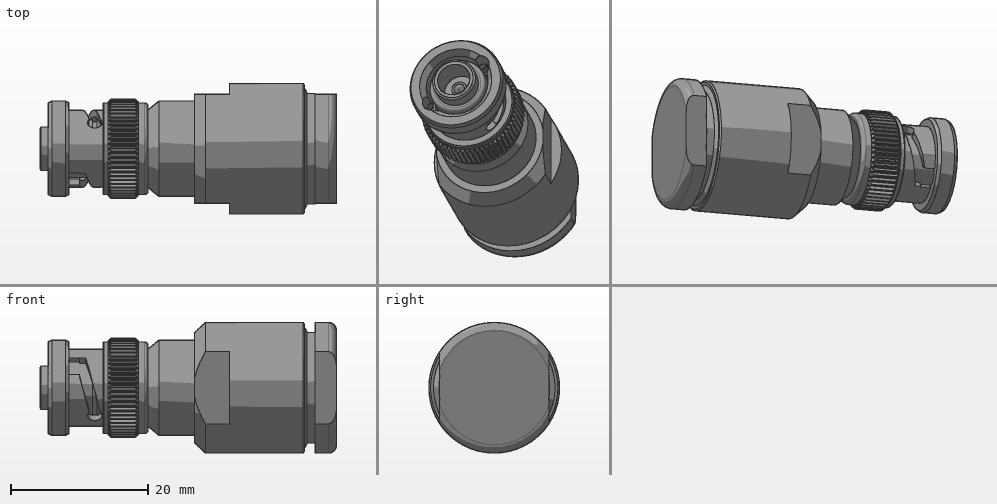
import cadquery as cq
import math

length = 43.2
body_diameter = 19.05
body_radius = body_diameter / 2

flange_front = 1.2
flange_back = 4.25
flange_radius = 6.95
flange_edge_length = 0.5
flange_edge_drop = 0.25
sleeve_radius = 5.6
bore_radius = 4.62
bore_depth = 9.15
entry_radius = 5.4
entry_depth = 0.85

collar_front = bore_depth
collar_radius = 6.7
collar_edge = 0.17
knurl_front = 9.9
knurl_back = 14.35
knurl_radius = 7.25
knurl_root_radius = 6.85
knurl_chamfer = 0.48
knurl_teeth = 60
crest_share = 0.2
valley_share = 0.2
collar_back = 15.75
collar_rounding = 0.55

neck_front_radius = 5.7
neck_radius = 6.95
neck_cone_end = 17.32
body_front = 22.5
body_front_radius = 8.05
body_cone_end = 24.1
body_edge_start = 38.3
body_edge_end = 38.55
body_edge_drop = 0.25
thread_relief_radius = 8.85
thread_relief_end = 38.92
thread_radius = 8.1

nut_front = 40.1
nut_rounding = 1.2
flat_distance = 7.95
body_flat_end = 27.6
flat_cut_margin = 0.45

tip_radius = 3.2
tip_face_radius = 2.9
tip_chamfer_length = 0.17
tip_bore_radius = 2.4
tip_bore_depth = 4.3
shoulder_position = 2.1
contact_radius = 4.2
contact_rounding = 0.65
groove_start = 7.7
groove_end = 8.3
groove_radius = 3.9
pin_shoulder_radius = 1.12
pin_shoulder_front = 3.45
pin_radius = 0.78
pin_tip = 2.6

slot_count = 2
slot_width = 2.95
slot_straight_end = 5.75
slot_angle = 35.5
channel_radius = 1.45
channel_offset = 4.3
ramp_width = 1.65
ramp_start = 5.85
ramp_end = 8.15
ramp_start_angle = 50.0
ramp_end_angle = -47.0
seat_position = 8.0
seat_radius = 1.05
slot_floor_radius = 4.28
slot_reach = 6.25


def turned(outline):
    """Revolve a closed (axial, radial) outline about the X axis."""
    return outline.close().revolve(360, (0, 0, 0), (1, 0, 0))


def cylinder(start, end, radius):
    """Cylinder along X."""
    return cq.Workplane("YZ").workplane(offset=start).circle(radius).extrude(end - start)


def at_angle(shape, angle):
    """Turn a shape built toward -Y so that it sits at the given angle."""
    return shape.rotate((0, 0, 0), (1, 0, 0), -angle)


def make_sleeve():
    edge_radius = flange_radius - flange_edge_drop
    return turned(
        cq.Workplane("XY")
        .moveTo(flange_front, entry_radius)
        .lineTo(flange_front, edge_radius)
        .lineTo(flange_front + flange_edge_length, flange_radius)
        .lineTo(flange_back - flange_edge_length, flange_radius)
        .lineTo(flange_back, edge_radius)
        .lineTo(flange_back, sleeve_radius)
        .lineTo(bore_depth, sleeve_radius)
        .lineTo(bore_depth, bore_radius)
        .lineTo(flange_front + entry_depth, bore_radius)
    )


def make_slot():
    """One bayonet slot: entry channel, straight run, helical ramp and round seat."""
    channel = (
        cylinder(flange_front, flange_back, channel_radius)
        .translate((0, -channel_offset, 0))
    )
    run_length = slot_straight_end - flange_back
    radial_depth = slot_reach - slot_floor_radius
    straight = (
        cq.Workplane("XY")
        .box(run_length, radial_depth, slot_width, centered=(False, False, True))
        .translate((flange_back, -slot_reach, 0))
    )
    entry = at_angle(channel.union(straight), slot_angle)

    ramp_turn = ramp_start_angle - ramp_end_angle
    ramp_length = ramp_end - ramp_start
    path = cq.Wire.makeHelix(ramp_length * 360 / ramp_turn, ramp_length, sleeve_radius)
    ramp = (
        cq.Workplane("XZ")
        .moveTo((slot_floor_radius + slot_reach) / 2, 0)
        .rect(radial_depth, ramp_width)
        .sweep(cq.Workplane(obj=path), isFrenet=True)
        .rotate((0, 0, 0), (0, 1, 0), 90)
        .translate((ramp_start, 0, 0))
    )
    ramp = at_angle(ramp, ramp_start_angle + 90)

    seat = (
        cq.Workplane("XZ")
        .workplane(offset=slot_floor_radius)
        .center(seat_position, 0)
        .circle(seat_radius)
        .extrude(radial_depth)
    )
    return entry.union(ramp).union(at_angle(seat, ramp_end_angle))


def make_collar():
    return turned(
        cq.Workplane("XY")
        .moveTo(collar_front, 0)
        .lineTo(collar_front, collar_radius - collar_edge)
        .lineTo(collar_front + collar_edge, collar_radius)
        .lineTo(collar_back - collar_rounding, collar_radius)
        .radiusArc((collar_back, collar_radius - collar_rounding), collar_rounding)
        .lineTo(collar_back, 0)
    )


def make_knurl():
    """Straight knurl with trapezoidal teeth and chamfered ends."""
    pitch = 2 * math.pi / knurl_teeth
    half_valley = valley_share * pitch / 2
    half_crest = crest_share * pitch / 2
    corners = (
        (knurl_root_radius, -half_valley),
        (knurl_root_radius, half_valley),
        (knurl_radius, pitch / 2 - half_crest),
        (knurl_radius, pitch / 2 + half_crest),
    )
    points = []
    for tooth in range(knurl_teeth):
        for radius, offset in corners:
            angle = tooth * pitch + offset
            points.append((radius * math.cos(angle), radius * math.sin(angle)))
    teeth = (
        cq.Workplane("YZ")
        .workplane(offset=knurl_front)
        .polyline(points)
        .close()
        .extrude(knurl_back - knurl_front)
    )
    envelope = cylinder(knurl_front, knurl_back, knurl_radius).edges().chamfer(knurl_chamfer)
    return teeth.intersect(envelope)


def make_body():
    return turned(
        cq.Workplane("XY")
        .moveTo(collar_back, 0)
        .lineTo(collar_back, neck_front_radius)
        .lineTo(neck_cone_end, neck_radius)
        .lineTo(body_front, neck_radius)
        .lineTo(body_front, body_front_radius)
        .lineTo(body_cone_end, body_radius)
        .lineTo(body_edge_start, body_radius)
        .lineTo(body_edge_end, body_radius - body_edge_drop)
        .lineTo(body_edge_end, thread_relief_radius)
        .lineTo(thread_relief_end, thread_radius)
        .lineTo(nut_front, thread_radius)
        .lineTo(nut_front, body_radius)
        .lineTo(length - nut_rounding, body_radius)
        .radiusArc((length, body_radius - nut_rounding), nut_rounding)
        .lineTo(length, 0)
    )


def cut_flats(shape, start, end):
    """Cut a pair of parallel wrench flats facing -Y and +Y."""
    depth = body_radius - flat_distance + flat_cut_margin
    for side in (-1, 1):
        block = (
            cq.Workplane("XY")
            .box(end - start, depth, 2 * body_radius, centered=(False, True, True))
            .translate((start, side * (flat_distance + depth / 2), 0))
        )
        shape = shape.cut(block)
    return shape


def make_contact():
    """Hollow inner contact with a pointed centre pin at the bottom of its bore."""
    return turned(
        cq.Workplane("XY")
        .moveTo(0, tip_bore_radius)
        .lineTo(0, tip_face_radius)
        .lineTo(tip_chamfer_length, tip_radius)
        .lineTo(shoulder_position, tip_radius)
        .lineTo(shoulder_position, contact_radius - contact_rounding)
        .radiusArc((shoulder_position + contact_rounding, contact_radius), contact_rounding)
        .lineTo(groove_start, contact_radius)
        .lineTo(groove_start, groove_radius)
        .lineTo(groove_end, groove_radius)
        .lineTo(groove_end, contact_radius)
        .lineTo(bore_depth, contact_radius)
        .lineTo(bore_depth, 0)
        .lineTo(pin_tip, 0)
        .lineTo(pin_tip + pin_radius, pin_radius)
        .lineTo(pin_shoulder_front, pin_radius)
        .lineTo(pin_shoulder_front, pin_shoulder_radius)
        .lineTo(tip_bore_depth, pin_shoulder_radius)
        .lineTo(tip_bore_depth, tip_bore_radius)
    )


sleeve = make_sleeve()
slot = make_slot()
for index in range(slot_count):
    sleeve = sleeve.cut(at_angle(slot, index * 360 / slot_count))

body = make_body()
body = cut_flats(body, body_front, body_flat_end)
body = cut_flats(body, nut_front, length)

collar = make_collar().union(make_knurl())
result = sleeve.union(collar).union(body).union(make_contact())